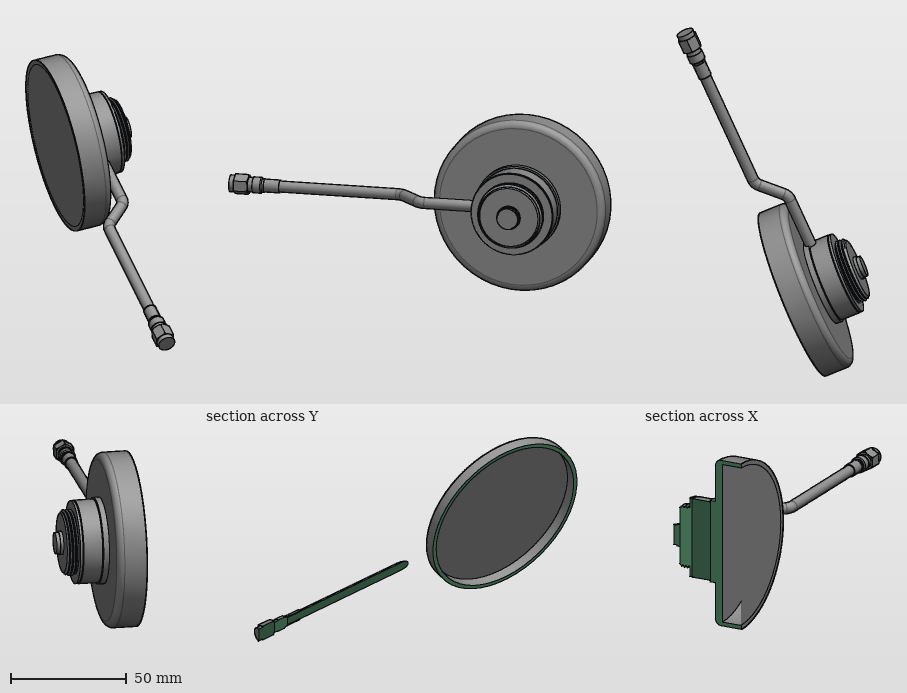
import cadquery as cq
import math


puck_radius = 38.0
pad_thickness = 0.3
puck_top = 13.0
puck_edge_fillet = 3.0
cavity_radius = 36.0
cavity_depth = 9.0
collar_radius = 18.75
collar_top = 15.5

housing_radius = 18.1
housing_top = 24.4
housing_chamfer = 0.35

flange_radius = 18.0
flange_top = 25.5
cap_top = 30.4
thread_pitch = 1.5
thread_crest_radius = 14.3
thread_root_radius = 13.4
thread_overlap = 0.2
thread_root_half_width = 0.68
thread_start = flange_top - 0.75
cap_top_radius = 12.9
cap_clearance_radius = thread_crest_radius + thread_overlap

connector_base_radius = 5.1
connector_base_top = 31.75
connector_tip_radius = 4.6
connector_top = 33.35

cable_radius = 2.45
cable_entry_x = 15.0
cable_high_y = 16.25
cable_low_y = 5.3
bend_radius = 5.0
bend_angle = math.radians(45)
first_bend_x = 40.6

sleeve_radius = 2.85
sleeve_start = 107.6
sleeve_end = 114.4
plug_collar_radius = 2.95
plug_collar_end = 115.3
plug_radius = 3.5
plug_chamfer = 0.5
plug_shoulder_end = 119.3
plug_neck_radius = 3.2
nut_start = 121.3
nut_across_flats = 7.8
nut_corner_radius = nut_across_flats / 2 / math.cos(math.radians(30))
nut_chamfer = 0.5
nut_hex_end = 127.4
nut_rim_radius = 3.7
nut_end = 129.53


def turned(bottom, top, radius):
    """Plain disc about the Y axis, between two Y heights."""
    return cq.Workplane("XZ", origin=(0, bottom, 0)).circle(radius).extrude(bottom - top)


def rod(start, end, radius):
    """Plain rod along X on the lower cable run."""
    return cq.Workplane("YZ", origin=(start, cable_low_y, 0)).circle(radius).extrude(end - start)


def make_pad():
    return turned(0, pad_thickness, puck_radius)


def make_puck(cable):
    body = turned(pad_thickness, puck_top, puck_radius).faces(">Y").edges().fillet(puck_edge_fillet)
    body = body.union(turned(puck_top, collar_top, collar_radius))
    body = body.cut(turned(pad_thickness, pad_thickness + cavity_depth, cavity_radius))
    return body.cut(cable)


def make_housing(cable):
    body = turned(collar_top, housing_top, housing_radius)
    body = body.faces("<Y or >Y").edges().chamfer(housing_chamfer)
    return body.cut(cable)


def make_thread_ridge():
    """Right-handed ridge, sharp at its point, running on past the cap's top."""
    inner_radius = thread_root_radius - thread_overlap
    length = cap_top - thread_start + thread_pitch
    helix = cq.Wire.makeHelix(
        thread_pitch, length, thread_root_radius, cq.Vector(0, 0, 0), cq.Vector(0, 0, 1)
    )
    section = cq.Workplane("XZ").polyline([
        (inner_radius, -thread_root_half_width),
        (thread_crest_radius, 0),
        (inner_radius, thread_root_half_width),
    ]).close()
    ridge = section.sweep(cq.Workplane(helix), isFrenet=True)
    return ridge.rotate((0, 0, 0), (1, 0, 0), -90).translate((0, thread_start, 0))


def make_cap():
    flange = turned(housing_top, flange_top, flange_radius)
    core = turned(housing_top, cap_top + 2 * thread_pitch, thread_root_radius)
    envelope = turned(housing_top, cap_top, cap_clearance_radius)
    envelope = envelope.faces(">Y").edges().chamfer(cap_clearance_radius - cap_top_radius)
    threaded = core.union(make_thread_ridge()).intersect(envelope)
    return flange.union(threaded)


def make_top_connector():
    base = turned(cap_top, connector_base_top, connector_base_radius)
    return base.union(turned(connector_base_top, connector_top, connector_tip_radius))


def make_cable():
    """Round cable: high straight, 45 degree drop between two equal bends, low straight."""
    bend_run = bend_radius * math.sin(bend_angle)
    bend_drop = bend_radius * (1 - math.cos(bend_angle))
    slope_drop = cable_high_y - cable_low_y - 2 * bend_drop
    slope_run = slope_drop / math.tan(bend_angle)
    slope_start = (first_bend_x + bend_run, cable_high_y - bend_drop)
    slope_end = (slope_start[0] + slope_run, cable_low_y + bend_drop)
    path = (
        cq.Workplane("XY")
        .moveTo(cable_entry_x, cable_high_y)
        .lineTo(first_bend_x, cable_high_y)
        .tangentArcPoint(slope_start, relative=False)
        .lineTo(*slope_end)
        .tangentArcPoint((slope_end[0] + bend_run, cable_low_y), relative=False)
        .lineTo(sleeve_end, cable_low_y)
    )
    start = cq.Workplane("YZ", origin=(cable_entry_x, cable_high_y, 0))
    return start.circle(cable_radius).sweep(path)


def make_sleeve():
    return rod(sleeve_start, sleeve_end, sleeve_radius).cut(
        rod(sleeve_start, sleeve_end, cable_radius)
    )


def make_plug_body():
    shoulder = rod(plug_collar_end, plug_shoulder_end, plug_radius)
    shoulder = shoulder.faces("<X").edges().chamfer(plug_chamfer)
    collar = rod(sleeve_end, plug_collar_end, plug_collar_radius)
    return shoulder.union(collar).union(rod(plug_shoulder_end, nut_start, plug_neck_radius))


def make_nut():
    """Hexagon with flats facing +Y and -Y, its cable end turned to a chamfer, and a round rim."""
    hexagon = (
        cq.Workplane("YZ", origin=(nut_start, cable_low_y, 0))
        .polygon(6, 2 * nut_corner_radius)
        .extrude(nut_hex_end - nut_start)
        .rotate((0, cable_low_y, 0), (1, cable_low_y, 0), 30)
    )
    turned_blank = rod(nut_start, nut_hex_end, nut_corner_radius)
    turned_blank = turned_blank.faces("<X").edges().chamfer(nut_chamfer)
    return hexagon.intersect(turned_blank).union(rod(nut_hex_end, nut_end, nut_rim_radius))


cable = make_cable()
bodies = [
    make_pad(),
    make_puck(cable),
    make_housing(cable),
    make_cap(),
    make_top_connector(),
    cable,
    make_sleeve(),
    make_plug_body(),
    make_nut(),
]
result = cq.Compound.makeCompound([body.val() for body in bodies])